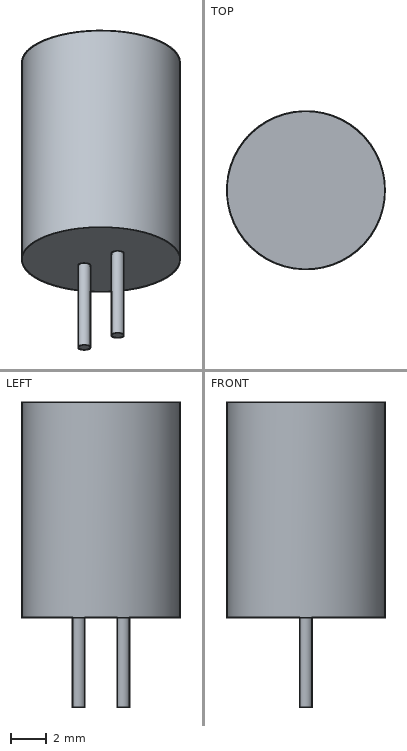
import cadquery as cq

total_height = 17.35
body_diameter = 9.0

pin_diameter = 0.71
pin_length = 5.1
pin_spacing = 2.53

body_height = total_height - pin_length


def make_body():
    """Plain cylindrical body standing on Z = 0."""
    return cq.Workplane("XY").circle(body_diameter / 2).extrude(body_height)


def make_pin(y):
    """Round pin hanging from the underside of the body."""
    return cq.Workplane("XY").center(0, y).circle(pin_diameter / 2).extrude(-pin_length)


body = make_body()
pins = [make_pin(side * pin_spacing / 2) for side in (-1, 1)]

result = cq.Compound.makeCompound([body.val(), *[pin.val() for pin in pins]])